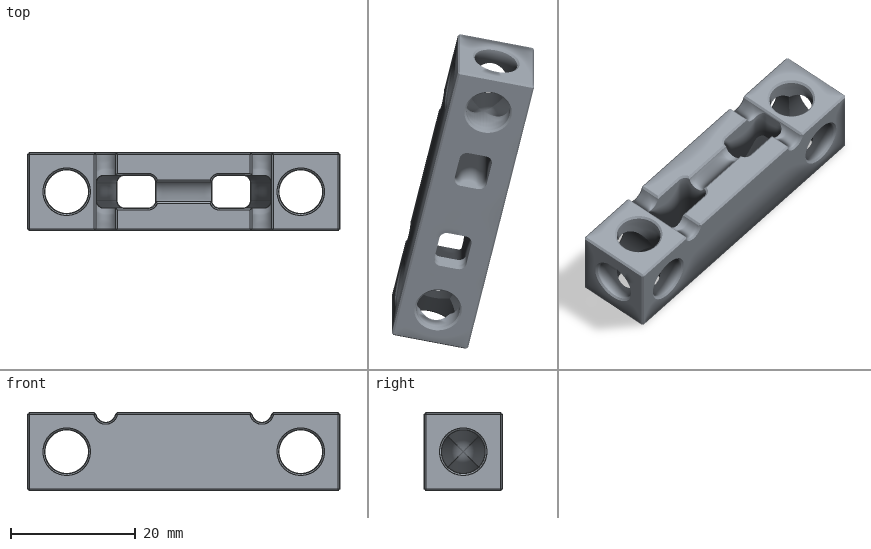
import math

import cadquery as cq

LENGTH = 50.0
WIDTH = 12.5
HEIGHT = 12.5
CHAMFER = 0.3

BORE_DIAMETER = 7.0
BORE_X = (LENGTH - WIDTH) / 2
BORE_Z = HEIGHT / 2

GROOVE_RADIUS = 1.6
GROOVE_DEPTH = 1.55
GROOVE_AXIS_Z = HEIGHT - GROOVE_DEPTH + GROOVE_RADIUS
GROOVE_X = LENGTH / 4

POCKET_WIDTH = 5.25
POCKET_CORNER_RADIUS = 1.2
POCKET_INNER_X = 4.5
POCKET_TOP_OUTER_X = 14.0
POCKET_BOTTOM_OUTER_X = 10.7
SLOPE_TOP_Z = HEIGHT / 2
SLOPE_SIZE = POCKET_TOP_OUTER_X - POCKET_BOTTOM_OUTER_X
SLOPE_BOTTOM_Z = SLOPE_TOP_Z - SLOPE_SIZE

SIDES = (-1, 1)


def make_block():
    block = cq.Workplane("XY").box(LENGTH, WIDTH, HEIGHT, centered=(True, True, False))
    return block.edges().chamfer(CHAMFER)


def make_countersink(point, inward, bore_radius):
    """45 degree cone that breaks the edge of a round bore opening at point."""
    wide_radius = bore_radius + CHAMFER
    cone = cq.Solid.makeCone(wide_radius, bore_radius, CHAMFER, cq.Vector(*point), cq.Vector(*inward))
    return cq.Workplane(cone)


def make_bore(start, direction, length, radius):
    """Cylinder from the face point start, with its opening edge chamfered."""
    cylinder = cq.Solid.makeCylinder(radius, length, cq.Vector(*start), cq.Vector(*direction))
    return cq.Workplane(cylinder).union(make_countersink(start, direction, radius))


def make_end_bores(side):
    """Bores from five faces of an end cube, all meeting at its centre."""
    x = side * BORE_X
    radius = BORE_DIAMETER / 2
    bores = make_bore((side * LENGTH / 2, 0, BORE_Z), (-side, 0, 0), WIDTH / 2, radius)
    for face in SIDES:
        along_y = make_bore((x, face * WIDTH / 2, BORE_Z), (0, -face, 0), WIDTH / 2, radius)
        along_z = make_bore((x, 0, BORE_Z + face * HEIGHT / 2), (0, 0, -face), HEIGHT / 2, radius)
        bores = bores.union(along_y).union(along_z)
    return bores


def make_groove(plane, length):
    """Round-bottomed groove with chamfered long edges; the plane's origin lies on its axis."""
    top = HEIGHT - GROOVE_AXIS_Z
    chamfer_bottom = top - CHAMFER
    half_width = math.sqrt(GROOVE_RADIUS**2 - chamfer_bottom**2)
    groove = cq.Workplane(plane).circle(GROOVE_RADIUS).extrude(length / 2, both=True)
    edge_break = (
        cq.Workplane(plane)
        .moveTo(-half_width - CHAMFER, top)
        .lineTo(half_width + CHAMFER, top)
        .lineTo(half_width, chamfer_bottom)
        .lineTo(-half_width, chamfer_bottom)
        .close()
        .extrude(length / 2, both=True)
    )
    return groove.union(edge_break)


def make_cross_groove(side):
    """Groove across the block, with its ends chamfered at the side faces."""
    x = side * GROOVE_X
    groove = make_groove(cq.Plane((x, 0, GROOVE_AXIS_Z), (1, 0, 0), (0, -1, 0)), WIDTH)
    for face in SIDES:
        end = make_countersink((x, face * WIDTH / 2, GROOVE_AXIS_Z), (0, -face, 0), GROOVE_RADIUS)
        groove = groove.union(end)
    return groove


def make_centre_groove():
    """Lengthwise groove joining the two pockets."""
    return make_groove(cq.Plane((0, 0, GROOVE_AXIS_Z), (0, 1, 0), (1, 0, 0)), 2 * POCKET_INNER_X)


def pocket_outline(outer_x, z, margin=0.0):
    """Rounded rectangle from the inner pocket wall to outer_x, grown by margin."""
    length = outer_x - POCKET_INNER_X + 2 * margin
    outline = cq.Sketch().rect(length, POCKET_WIDTH + 2 * margin)
    outline = outline.vertices().fillet(POCKET_CORNER_RADIUS + margin)
    return outline.moved(cq.Location(cq.Vector((outer_x + POCKET_INNER_X) / 2, 0, z)))


def make_pocket():
    """Pocket on the +X side: a long upper part that funnels down to a shorter outlet."""
    outlet_outline = pocket_outline(POCKET_BOTTOM_OUTER_X, SLOPE_BOTTOM_Z)
    funnel_outline = pocket_outline(POCKET_BOTTOM_OUTER_X, SLOPE_TOP_Z, SLOPE_SIZE)
    body_outline = pocket_outline(POCKET_TOP_OUTER_X, SLOPE_BOTTOM_Z)
    upper_outline = pocket_outline(POCKET_TOP_OUTER_X, SLOPE_TOP_Z)
    outlet = cq.Workplane("XY").placeSketch(outlet_outline).extrude(-SLOPE_BOTTOM_Z)
    funnel = cq.Workplane("XY").placeSketch(outlet_outline, funnel_outline).loft(ruled=True)
    sloped_part = cq.Workplane("XY").placeSketch(body_outline).extrude(SLOPE_SIZE).intersect(funnel)
    upper_part = cq.Workplane("XY").placeSketch(upper_outline).extrude(HEIGHT - SLOPE_TOP_Z)
    return outlet.union(sloped_part).union(upper_part)


def make_pocket_edge_break():
    """Chamfer of the pocket's top edge, which runs out into the crosswise groove."""
    edge_break = (
        cq.Workplane("XY")
        .placeSketch(
            pocket_outline(GROOVE_X + CHAMFER, HEIGHT - CHAMFER),
            pocket_outline(GROOVE_X + CHAMFER, HEIGHT, CHAMFER),
        )
        .loft(ruled=True)
    )
    kept_zone = cq.Workplane("XY").box(GROOVE_X, WIDTH, HEIGHT, centered=(False, True, False))
    return edge_break.intersect(kept_zone)


result = make_block().cut(make_centre_groove())
pocket = make_pocket().union(make_pocket_edge_break())
for side in SIDES:
    result = result.cut(make_end_bores(side))
    result = result.cut(make_cross_groove(side))
result = result.cut(pocket).cut(pocket.mirror("YZ"))